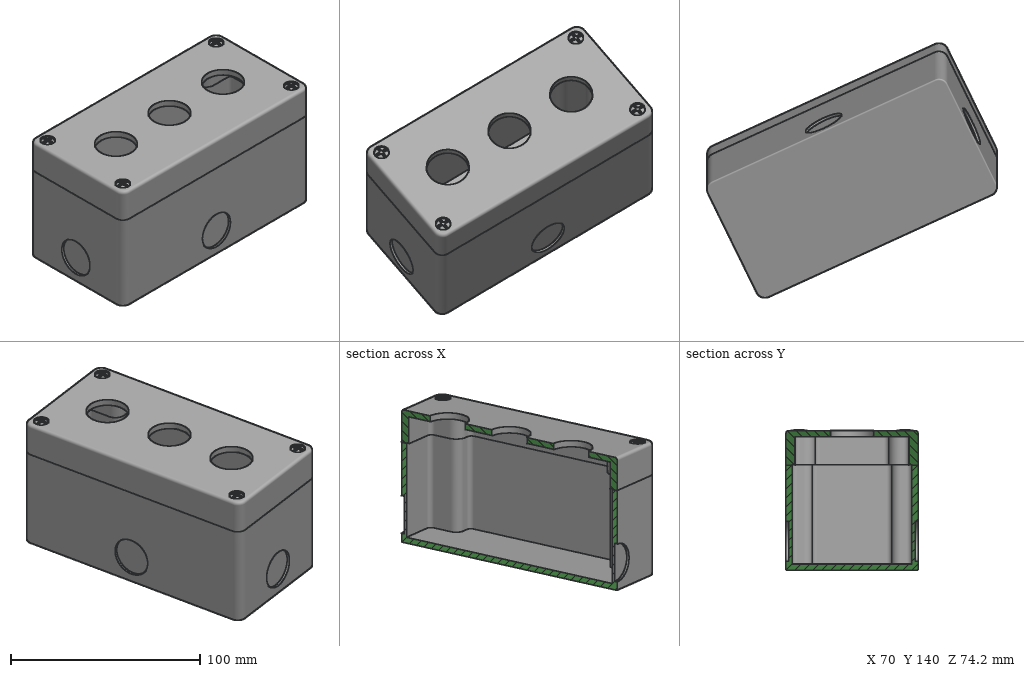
import cadquery as cq

length_x = 70.0
length_y = 140.0
corner_radius = 5.0
wall = 3.5

base_height = 55.8
base_edge_radius = 0.8

lid_top = 74.0
lid_height = lid_top - base_height
lid_edge_radius = 1.75
lid_overhang = 1.5
button_hole_diameter = 22.5
button_pitch = 40.0
button_count = 3

block_inner_x = 20.9
block_inner_y = 48.2
block_nose_radius = 4.5
cavity_corner_radius = 2.5
selection_margin = 1.0

knockout_diameter = 21.0
knockout_depth = 1.5
knockout_height = 15.5

screw_x = 28.0
screw_y = 63.0
screw_top = 74.21
head_diameter = 7.8
head_pocket_diameter = 8.0
head_height = 3.0
head_edge_radius = 1.7
shank_diameter = 4.0
shank_length = 25.0
slot_width = 0.95
slot_depth = 0.5
socket_diameter = 2.2

screw_seat = screw_top - head_height
screw_tip = screw_seat - shank_length
screw_points = [(sx * screw_x, sy * screw_y) for sx in (-1, 1) for sy in (-1, 1)]


def outer_block(bottom, height):
    """Solid block with the rounded footprint shared by the base and the lid."""
    return (
        cq.Workplane("XY", origin=(0, 0, bottom))
        .rect(length_x, length_y)
        .extrude(height)
        .edges("|Z")
        .fillet(corner_radius)
    )


def cavity(bottom, height, inset):
    """Cross-shaped inner space with a solid block in each corner, its walls moved inwards by the inset."""
    arm_x = block_inner_x - inset
    arm_y = block_inner_y - inset
    plane = cq.Workplane("XY", origin=(0, 0, bottom))
    across = plane.rect(length_x - 2 * (wall + inset), 2 * arm_y).extrude(height)
    along = plane.rect(2 * arm_x, length_y - 2 * (wall + inset)).extrude(height)
    noses = cq.selectors.BoxSelector(
        (-arm_x - selection_margin, -arm_y - selection_margin, bottom),
        (arm_x + selection_margin, arm_y + selection_margin, bottom + height),
    )
    shape = across.union(along)
    shape = shape.edges("|Z").edges(noses).fillet(block_nose_radius + inset)
    return shape.edges("|Z and (>X or <X or >Y or <Y)").fillet(cavity_corner_radius)


def screw_cylinder(diameter, bottom, top):
    """Cylinders of one diameter on all the screw axes."""
    return (
        cq.Workplane("XY", origin=(0, 0, bottom))
        .pushPoints(screw_points)
        .circle(diameter / 2)
        .extrude(top - bottom)
    )


def knockouts():
    """Shallow discs sunk into the middle of each side wall."""

    def cross_rod(plane, half_length):
        disc = cq.Workplane(plane).center(0, knockout_height).circle(knockout_diameter / 2)
        return disc.extrude(half_length, both=True)

    def end_discs(plane, half_length):
        return cross_rod(plane, half_length).cut(cross_rod(plane, half_length - knockout_depth))

    return end_discs("YZ", length_x / 2).union(end_discs("XZ", length_y / 2))


def make_base():
    """Open box with corner blocks, side knockouts and screw holes."""
    body = outer_block(0, base_height).faces("<Z").edges().fillet(base_edge_radius)
    body = body.cut(cavity(wall, base_height - wall, inset=0))
    body = body.cut(knockouts())
    return body.cut(screw_cylinder(shank_diameter, screw_tip, base_height))


def make_lid():
    """Deep hollow lid with a row of button holes and sunk screw heads."""
    body = outer_block(base_height, lid_height).faces(">Z").edges().fillet(lid_edge_radius)
    body = body.cut(cavity(base_height, lid_height - wall, inset=lid_overhang))
    button_holes = (
        cq.Workplane("XY", origin=(0, 0, base_height))
        .rarray(1, button_pitch, 1, button_count)
        .circle(button_hole_diameter / 2)
        .extrude(lid_height)
    )
    body = body.cut(button_holes)
    body = body.cut(screw_cylinder(head_pocket_diameter, screw_seat, lid_top))
    return body.cut(screw_cylinder(shank_diameter, base_height, screw_seat))


def make_screw(x, y):
    """Round-edged head with a cross slot and a round middle recess, on a plain shank."""
    head = (
        cq.Workplane("XY", origin=(x, y, screw_seat))
        .circle(head_diameter / 2)
        .extrude(head_height)
        .faces(">Z")
        .edges()
        .fillet(head_edge_radius)
    )
    shank = cq.Workplane("XY", origin=(x, y, screw_tip)).circle(shank_diameter / 2).extrude(shank_length)
    slot_plane = cq.Workplane("XY", origin=(x, y, screw_top - slot_depth))
    slot_x = slot_plane.rect(head_diameter, slot_width).extrude(slot_depth)
    slot_y = slot_plane.rect(slot_width, head_diameter).extrude(slot_depth)
    socket = slot_plane.circle(socket_diameter / 2).extrude(slot_depth)
    return head.union(shank).cut(slot_x).cut(slot_y).cut(socket)


base = make_base()
lid = make_lid()
screws = [make_screw(x, y) for x, y in screw_points]

result = cq.Compound.makeCompound([base.val(), lid.val(), *[screw.val() for screw in screws]])